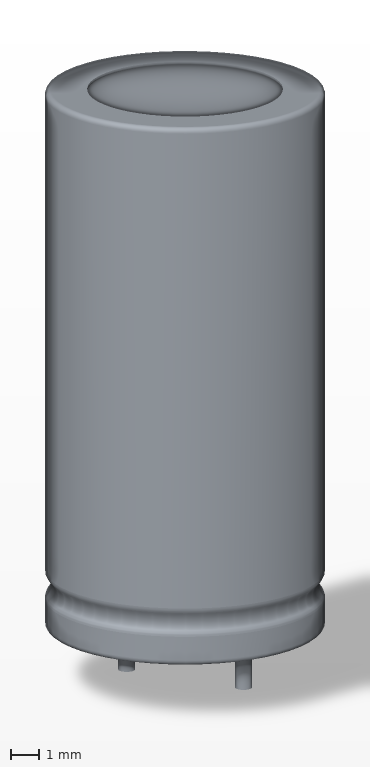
import cadquery as cq

total_height = 22.0
body_diameter = 10.0
long_pin_length = 2.0
short_pin_length = 1.87
pin_diameter = 0.6
pin_spacing = 5.0

edge_radius = 0.2
recess_diameter = 7.0
recess_depth = 0.1

groove_center_height = 1.6
groove_arc_height = 0.65
groove_depth = 0.2
lip_height = 0.2

body_radius = body_diameter / 2
body_height = total_height - long_pin_length
pin_embed = 0.22



def make_can():
    """Revolved can with rounded rims and the crimp groove."""
    half_arc = groove_arc_height / 2
    half_groove = half_arc + lip_height
    lip_depth = groove_depth * lip_height / half_groove
    lip_radius = body_radius - lip_depth

    profile = (
        cq.Workplane("XZ")
        .lineTo(body_radius - edge_radius, 0)
        .radiusArc((body_radius, edge_radius), -edge_radius)
        .lineTo(body_radius, groove_center_height - half_groove)
        .tangentArcPoint((lip_radius, groove_center_height - half_arc), relative=False)
        .threePointArc(
            (body_radius - groove_depth, groove_center_height),
            (lip_radius, groove_center_height + half_arc),
        )
        .tangentArcPoint((body_radius, groove_center_height + half_groove), relative=False)
        .lineTo(body_radius, body_height - edge_radius)
        .radiusArc((body_radius - edge_radius, body_height), -edge_radius)
        .lineTo(0, body_height)
        .close()
    )
    return profile.revolve(360, (0, 0, 0), (0, 1, 0))


def make_top_recess():
    """Shallow round recess in the top face."""
    return (
        cq.Workplane("XY", origin=(0, 0, body_height - recess_depth))
        .circle(recess_diameter / 2)
        .extrude(recess_depth)
    )


def make_pin(x, length):
    """Round lead hanging below the can."""
    return (
        cq.Workplane("XY", origin=(x, 0, -length))
        .circle(pin_diameter / 2)
        .extrude(length + pin_embed)
    )


result = make_can().cut(make_top_recess())
for pin_x, pin_length in ((-pin_spacing / 2, long_pin_length), (pin_spacing / 2, short_pin_length)):
    result = result.union(make_pin(pin_x, pin_length))